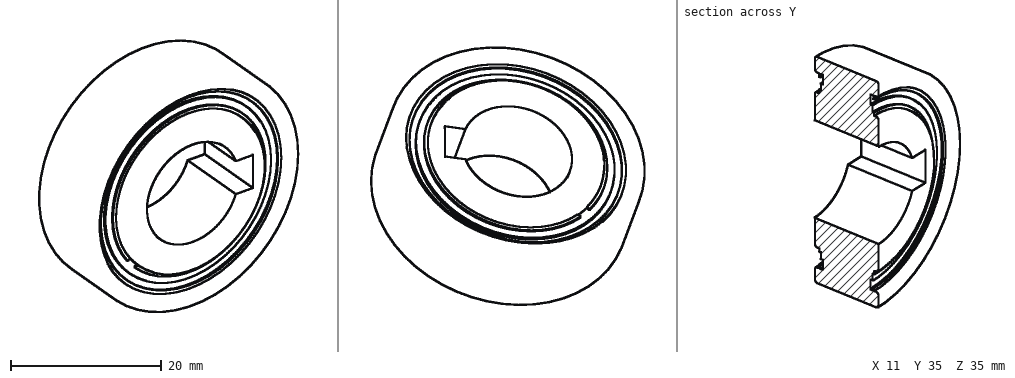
import cadquery as cq

outer_radius = 17.5
width = 11.0
corner_radius = 0.5

bore_radius = 7.5
key_width = 5.08
key_reach = 9.85

hub_radius = 12.0
rim_inner_radius = 15.0

plate_radius = 13.55
groove_depth = 1.4
plate_depth = 1.0

lip_inner_radius = 14.5
lip_depth = 0.75
lip_thickness = 0.25

ring_radius = 12.5
ring_thickness = 0.25
ring_gap = 1.92
ring_gap_angle = 40.5

half_width = width / 2


def tube(outer, inner, start, length):
    """Tube along +X from the plane X = start."""
    return cq.Workplane("YZ", origin=(start, 0, 0)).circle(outer).circle(inner).extrude(length)


def make_rim():
    return tube(outer_radius, rim_inner_radius, -half_width, width).edges().fillet(corner_radius)


def make_hub():
    hub = cq.Workplane("YZ", origin=(-half_width, 0, 0)).circle(hub_radius).extrude(width)
    hub = hub.edges().fillet(corner_radius)
    bore = cq.Workplane("YZ", origin=(-half_width, 0, 0)).circle(bore_radius).extrude(width)
    keyway = cq.Workplane("XY").box(width, key_reach, key_width).translate((0, key_reach / 2, 0))
    return hub.cut(bore).cut(keyway)


def shield_layer(outer, inner, depth):
    """Part of the shield, whose two faces lie at the given depth below the wheel faces."""
    return tube(outer, inner, depth - half_width, width - 2 * depth)


def make_retaining_ring():
    ring = tube(ring_radius, hub_radius, plate_depth - ring_thickness - half_width, ring_thickness)
    gap = cq.Workplane("XY").box(width, ring_radius, ring_gap).translate((-half_width, -ring_radius / 2, 0))
    gap = gap.rotate((0, 0, 0), (1, 0, 0), ring_gap_angle)
    return ring.cut(gap)


shield = shield_layer(rim_inner_radius, hub_radius, groove_depth)
plate = shield_layer(plate_radius, hub_radius, plate_depth)
lip = tube(rim_inner_radius, lip_inner_radius, lip_depth - half_width, lip_thickness)
near_details = lip.union(make_retaining_ring())
far_details = near_details.mirror("YZ")

result = make_rim().union(shield).union(plate).union(make_hub())
result = result.union(near_details).union(far_details)